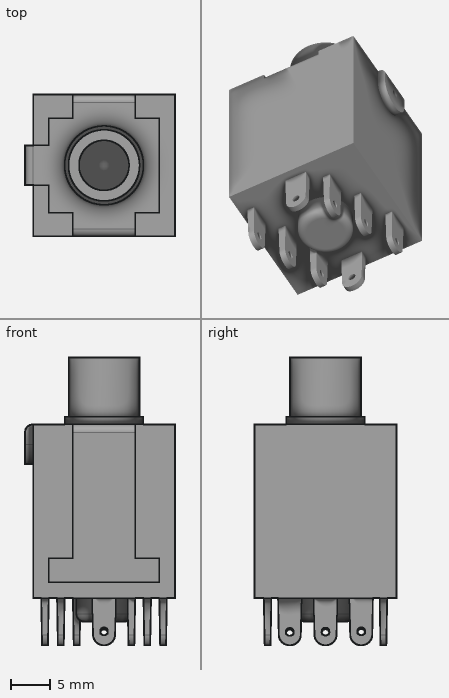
import cadquery as cq
import math

HOUSING_SIDE = 18.0
HOUSING_HEIGHT = 22.0
HALF_SIDE = HOUSING_SIDE / 2

CORE_LENGTH_X = 14.0
CORE_LENGTH_Y = 11.97
CORE_BOTTOM_Z = 2.0
WINDOW_BAR_HEIGHT = 3.03
WINDOW_NECK_WIDTH = 7.9
EDGE_ROUNDING = 1.0

TAB_WIDTH = 5.05
TAB_PROJECTION = 1.02
TAB_HOLE_DIAMETER = 1.0
TAB_CENTER_Z = HOUSING_HEIGHT - TAB_WIDTH / 2

SLEEVE_DIAMETER = 9.0
SLEEVE_HEIGHT = 7.52
COLLAR_DIAMETER = 10.0
COLLAR_HEIGHT = 1.0
BORE_DIAMETER = 6.35

BOSS_DIAMETER = 7.0
BOSS_HEIGHT = 3.0

TERMINAL_WIDTH = 3.0
TERMINAL_THICKNESS = 1.0
TERMINAL_LENGTH = 6.0
TERMINAL_DRAFT_ANGLE = 1
TERMINAL_TIP_RADIUS = 1.4
TERMINAL_HOLE_DIAMETER = 1.0
TERMINAL_HOLE_Z = TERMINAL_WIDTH / 2 - TERMINAL_LENGTH
END_TERMINAL_Y = 7.35
SIDE_TERMINAL_PITCH_Y = 4.53
SIDE_TERMINAL_MIDDLE_X = 5.48
SIDE_TERMINAL_STAGGER_X = 2.0


def block(length_x, length_y, bottom_z, top_z):
    """Box centred on the jack axis between two heights."""
    height = top_z - bottom_z
    return cq.Workplane("XY").box(length_x, length_y, height, (True, True, False)).translate((0, 0, bottom_z))


def disc(diameter, bottom_z, height):
    return cq.Workplane("XY").workplane(offset=bottom_z).circle(diameter / 2).extrude(height)


def make_tab():
    """Round-ended tab from the jack axis out past the -X wall, with its top outer edge rounded."""
    reach = HALF_SIDE + TAB_PROJECTION
    half_width = TAB_WIDTH / 2
    return (
        cq.Workplane("YZ")
        .moveTo(-half_width, HOUSING_HEIGHT)
        .lineTo(-half_width, TAB_CENTER_Z)
        .threePointArc((0, TAB_CENTER_Z - half_width), (half_width, TAB_CENTER_Z))
        .lineTo(half_width, HOUSING_HEIGHT)
        .close()
        .extrude(-reach)
        .edges("<X and >Z")
        .fillet(EDGE_ROUNDING)
    )


def make_cavity():
    """Space inside the housing: the core, the T-shaped windows and the slot for the tab."""
    core = block(CORE_LENGTH_X, CORE_LENGTH_Y, CORE_BOTTOM_Z, HOUSING_HEIGHT)
    bar = block(CORE_LENGTH_X, HOUSING_SIDE, CORE_BOTTOM_Z, CORE_BOTTOM_Z + WINDOW_BAR_HEIGHT)
    neck = block(WINDOW_NECK_WIDTH, HOUSING_SIDE, CORE_BOTTOM_Z, HOUSING_HEIGHT)
    return core.union(bar).union(neck).union(make_tab())


def make_insert():
    """Body that fills the cavity, with its top window edges rounded, plus the bored collar and sleeve."""
    filling = make_cavity().edges("|X and >Z and (<Y or >Y)").fillet(EDGE_ROUNDING)
    sleeve_bottom = HOUSING_HEIGHT + COLLAR_HEIGHT
    collar = disc(COLLAR_DIAMETER, HOUSING_HEIGHT, COLLAR_HEIGHT)
    sleeve = disc(SLEEVE_DIAMETER, sleeve_bottom, SLEEVE_HEIGHT)
    bore = disc(BORE_DIAMETER, CORE_BOTTOM_Z, sleeve_bottom + SLEEVE_HEIGHT - CORE_BOTTOM_Z)
    tab_hole = (
        cq.Workplane("YZ", origin=(-HALF_SIDE, 0, TAB_CENTER_Z))
        .circle(TAB_HOLE_DIAMETER / 2)
        .extrude(-TAB_PROJECTION)
    )
    return filling.union(collar).union(sleeve).cut(bore).cut(tab_hole)


def make_terminal():
    """Drafted blade with a round tip, facing along Y and hanging from the origin."""
    return (
        cq.Workplane("XY")
        .rect(TERMINAL_WIDTH, TERMINAL_THICKNESS)
        .extrude(-TERMINAL_LENGTH, taper=TERMINAL_DRAFT_ANGLE)
        .faces("<Z")
        .edges("|Y")
        .fillet(TERMINAL_TIP_RADIUS)
    )


def make_terminal_drill(y):
    """Drill that enters at the -X face and rises by the draft angle, square to the drafted blades."""
    angle = math.radians(TERMINAL_DRAFT_ANGLE)
    direction = cq.Vector(math.cos(angle), 0, math.sin(angle))
    start = cq.Vector(-HALF_SIDE, y, TERMINAL_HOLE_Z)
    return cq.Workplane(cq.Solid.makeCylinder(TERMINAL_HOLE_DIAMETER / 2, HOUSING_SIDE, start, direction))


def make_end_terminals():
    """Pair at the -Y and +Y sides, sharing one drilled line that rises towards -Y."""
    terminals = cq.Workplane("XY")
    for y in (-END_TERMINAL_Y, END_TERMINAL_Y):
        terminals = terminals.add(make_terminal().translate((0, y, 0)))
    drill = make_terminal_drill(0).rotate((0, 0, 0), (0, 0, 1), -90)
    return terminals.combine().cut(drill)


def make_side_terminals():
    """Two diagonal rows of three, alike under a half turn about the jack axis."""
    terminals = cq.Workplane("XY")
    blade = make_terminal().rotate((0, 0, 0), (0, 0, 1), 90)
    for side in (-1, 1):
        for step in (-1, 0, 1):
            x = side * SIDE_TERMINAL_MIDDLE_X + step * SIDE_TERMINAL_STAGGER_X
            terminals = terminals.add(blade.translate((x, step * SIDE_TERMINAL_PITCH_Y, 0)))
    terminals = terminals.combine()
    for step in (-1, 0, 1):
        terminals = terminals.cut(make_terminal_drill(step * SIDE_TERMINAL_PITCH_Y))
    return terminals


def make_housing():
    shell = block(HOUSING_SIDE, HOUSING_SIDE, 0, HOUSING_HEIGHT).cut(make_cavity())
    boss = disc(BOSS_DIAMETER, -BOSS_HEIGHT, BOSS_HEIGHT).faces("<Z").edges().fillet(EDGE_ROUNDING)
    return shell.union(boss).union(make_end_terminals()).union(make_side_terminals())


housing = make_housing()
insert = make_insert()

result = cq.Compound.makeCompound([housing.solids().val(), insert.solids().val()])